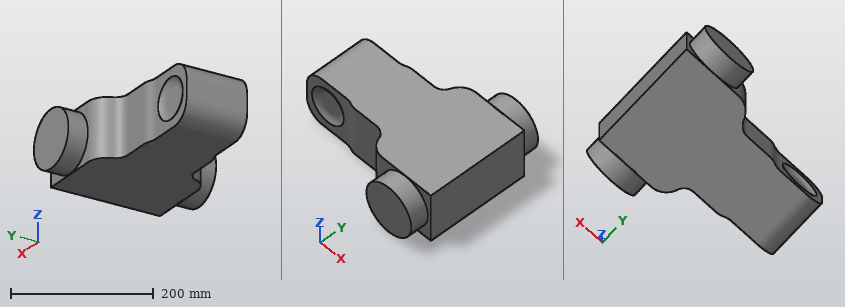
import cadquery as cq
import math

body_length = 296.0
body_height = 94.0
nose_width = 100.0
neck_width = 110.0
head_width = 180.0
nose_radius = 32.0

step_start = 80.5
step_end = 105.0

shoulder_end = 197.0
shoulder_inner_radius = 20.0
shoulder_outer_radius = 32.0

trunnion_diameter = 92.0
trunnion_span = 244.0
trunnion_x = 244.0

dish_x = 43.0
dish_rim_radius = 32.5
dish_floor_radius = 19.2
dish_depth = 5.3


def s_curve(start, end, inner_radius, outer_radius):
    """Tangent concave and convex arcs, level at both ends: the points after the start."""
    rise = end[1] - start[1]
    swing = math.acos(1 - rise / (inner_radius + outer_radius))

    def on_inner(angle):
        return (start[0] + inner_radius * math.sin(angle),
                start[1] + inner_radius * (1 - math.cos(angle)))

    def on_outer(angle):
        return (end[0] - outer_radius * math.sin(angle),
                end[1] - outer_radius * (1 - math.cos(angle)))

    return on_inner(swing / 2), on_inner(swing), on_outer(swing / 2), end


def half_body():
    """The half of the body on the +Y side."""
    step_run = step_end - step_start
    step_rise = (neck_width - nose_width) / 2
    step_radius = (step_run**2 + step_rise**2) / (4 * step_rise)
    step = s_curve((step_start, nose_width / 2), (step_end, neck_width / 2), step_radius, step_radius)

    shoulder_rise = (head_width - neck_width) / 2
    radius_sum = shoulder_inner_radius + shoulder_outer_radius
    shoulder_run = math.sqrt(2 * radius_sum * shoulder_rise - shoulder_rise**2)
    shoulder_start = (shoulder_end - shoulder_run, neck_width / 2)
    shoulder = s_curve(shoulder_start, (shoulder_end, head_width / 2),
                       shoulder_inner_radius, shoulder_outer_radius)

    return (
        cq.Workplane("XY")
        .workplane(offset=-body_height / 2)
        .moveTo(0, 0)
        .lineTo(0, nose_width / 2)
        .lineTo(step_start, nose_width / 2)
        .threePointArc(step[0], step[1])
        .threePointArc(step[2], step[3])
        .lineTo(*shoulder_start)
        .threePointArc(shoulder[0], shoulder[1])
        .threePointArc(shoulder[2], shoulder[3])
        .lineTo(body_length, head_width / 2)
        .lineTo(body_length, 0)
        .close()
        .extrude(body_height)
    )


def body():
    half = half_body()
    whole = half.union(half.mirror("XZ")).clean()
    return whole.edges("<X and |Y").fillet(nose_radius)


def trunnions():
    return (
        cq.Workplane("XZ")
        .center(trunnion_x, 0)
        .circle(trunnion_diameter / 2)
        .extrude(trunnion_span / 2, both=True)
    )


def dish():
    """Cutter for the +Y recess: a flat floor with a concave wall tangent to it."""
    rim_y = nose_width / 2
    floor_y = rim_y - dish_depth
    wall_run = dish_rim_radius - dish_floor_radius
    wall_radius = (wall_run**2 + dish_depth**2) / (2 * dish_depth)
    half_angle = math.asin(wall_run / wall_radius) / 2
    wall_middle = (dish_floor_radius + wall_radius * math.sin(half_angle),
                   floor_y + wall_radius * (1 - math.cos(half_angle)))
    return (
        cq.Workplane("XY")
        .moveTo(0, floor_y)
        .lineTo(dish_floor_radius, floor_y)
        .threePointArc(wall_middle, (dish_rim_radius, rim_y))
        .lineTo(0, rim_y)
        .close()
        .revolve(360, (0, 0, 0), (0, 1, 0))
        .translate((dish_x, 0, 0))
    )


near_dish = dish()
far_dish = near_dish.mirror("XZ")
result = body().union(trunnions()).cut(near_dish).cut(far_dish)